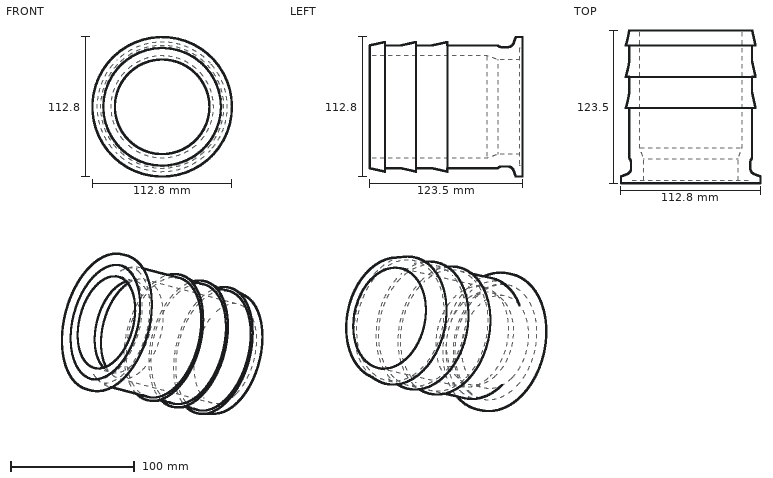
import cadquery as cq
import math

total_length = 123.5

flange_radius = 112.8 / 2
rim_length = 4.9
rim_round = 1.0
back_slope = math.radians(20)
neck_fillet = 4.7
edge_round = 0.7

neck_radius = 96.5 / 2
neck_end = 17.2
neck_rise_round = 3.7
shank_round = 2.5
shank_radius = 99.4 / 2

barb_radius = 52.5
barb_count = 3
barb_pitch = 25.2
barb_length = 12.3

bore_radius = 76.2 / 2
wide_bore_radius = 82.6 / 2
bore_step_start = 19.8
bore_step_end = 28.6

recess_mouth_radius = 96.5 / 2
recess_radius = 94.8 / 2
recess_depth = 2.5


def along_arc(center, radius, angle):
    """Point on a circle, with the angle measured from the radial direction towards +Y."""
    return (center[0] + radius * math.cos(angle), center[1] + radius * math.sin(angle))


def add_flange_back(profile):
    """Rim round, sloped back and the fillet down to the neck."""
    slope_direction = math.pi / 2 - back_slope
    rim_center = (flange_radius - rim_round, rim_length)
    rim_middle = along_arc(rim_center, rim_round, slope_direction / 2)
    rim_end = along_arc(rim_center, rim_round, slope_direction)

    fillet_start_radius = neck_radius + neck_fillet * (1 - math.sin(back_slope))
    fillet_start_y = rim_end[1] + (rim_end[0] - fillet_start_radius) * math.tan(back_slope)
    fillet_center = (neck_radius + neck_fillet, fillet_start_y + neck_fillet * math.cos(back_slope))
    fillet_middle = along_arc(fillet_center, -neck_fillet, slope_direction / 2)

    return (
        profile.lineTo(flange_radius, rim_length)
        .threePointArc(rim_middle, rim_end)
        .lineTo(fillet_start_radius, fillet_start_y)
        .threePointArc(fillet_middle, (neck_radius, fillet_center[1]))
    )


def add_neck_rise(profile):
    """Neck, then two tangent arcs up to the shank."""
    rounds = neck_rise_round + shank_round
    rise_angle = math.acos(1 - (shank_radius - neck_radius) / rounds)
    concave_center = (neck_radius + neck_rise_round, neck_end)
    convex_center = (shank_radius - shank_round, neck_end + rounds * math.sin(rise_angle))
    return (
        profile.lineTo(neck_radius, neck_end)
        .threePointArc(
            along_arc(concave_center, -neck_rise_round, -rise_angle / 2),
            along_arc(concave_center, -neck_rise_round, -rise_angle),
        )
        .threePointArc(
            along_arc(convex_center, shank_round, -rise_angle / 2),
            (shank_radius, convex_center[1]),
        )
    )


def add_barbs(profile):
    """Barbs that taper towards the hose end, from the flange side outwards."""
    for barb in reversed(range(barb_count)):
        tip_y = total_length - barb * barb_pitch
        shoulder_y = tip_y - barb_length
        profile = (
            profile.lineTo(shank_radius, shoulder_y)
            .lineTo(barb_radius, shoulder_y)
            .lineTo(shank_radius, tip_y)
        )
    return profile


def make_body():
    profile = cq.Workplane("XY").moveTo(0, 0).lineTo(flange_radius, 0)
    profile = add_flange_back(profile)
    profile = add_neck_rise(profile)
    profile = add_barbs(profile)
    body = profile.lineTo(0, total_length).close().revolve(360, (0, 0), (0, 1))
    return body.faces("<Y or >Y").edges().fillet(edge_round)


def make_bore():
    return (
        cq.Workplane("XY")
        .lineTo(bore_radius, 0)
        .lineTo(bore_radius, bore_step_start)
        .lineTo(wide_bore_radius, bore_step_end)
        .lineTo(wide_bore_radius, total_length)
        .lineTo(0, total_length)
        .close()
        .revolve(360, (0, 0), (0, 1))
    )


def make_face_recess():
    mouth_round = recess_mouth_radius - recess_radius
    mouth_middle = along_arc((recess_mouth_radius, mouth_round), -mouth_round, math.pi / 4)
    return (
        cq.Workplane("XY")
        .lineTo(recess_mouth_radius, 0)
        .threePointArc(mouth_middle, (recess_radius, mouth_round))
        .lineTo(recess_radius, recess_depth)
        .lineTo(0, recess_depth)
        .close()
        .revolve(360, (0, 0), (0, 1))
    )


result = make_body().cut(make_bore()).cut(make_face_recess())